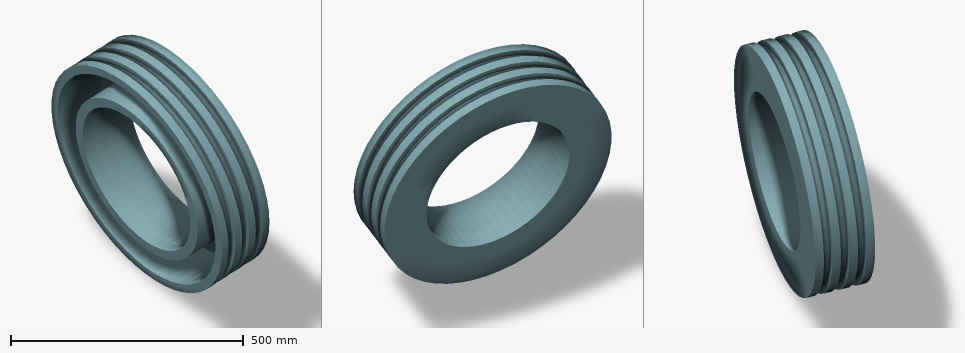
import cadquery as cq

outer_diameter = 560.0
groove_diameter = 532.0
rim_inner_diameter = 518.0
hub_outer_diameter = 400.0
bore_diameter = 353.0
width = 135.0
groove_count = 3
floor_thickness = 10.0
recess_depth = width - floor_thickness

band_width = width / (2 * groove_count + 1)


def ring(outer, inner, start, length):
    """Ring around the Y axis, running from start towards +Y."""
    plane = cq.Plane(origin=(0, start, 0), xDir=(1, 0, 0), normal=(0, 1, 0))
    return cq.Workplane(plane).circle(outer / 2).circle(inner / 2).extrude(length)


front_face = -width / 2

result = ring(outer_diameter, bore_diameter, front_face, width)

result = result.cut(ring(rim_inner_diameter, hub_outer_diameter, front_face, recess_depth))

for index in range(groove_count):
    groove_start = front_face + (2 * index + 1) * band_width
    cutter = ring(outer_diameter + band_width, groove_diameter, groove_start, band_width)
    result = result.cut(cutter)